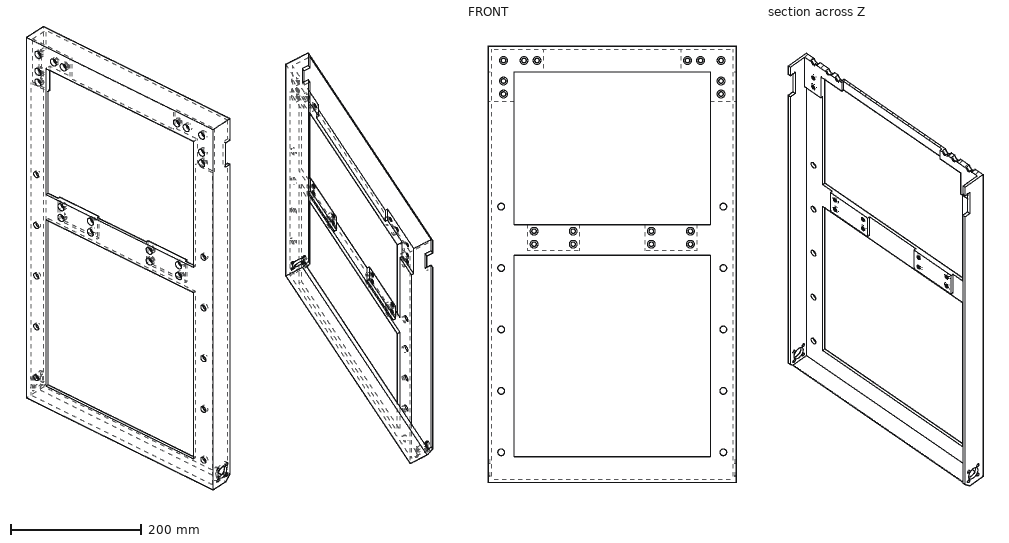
import cadquery as cq

width = 381.0
depth = 40.0
height = 670.0

front_thickness = 5.0
wall_thickness = 5.0

border = 40.0
crossbar_top = 61.0
crossbar_bottom = 14.0

notch_depth = 10.5
notch_from_top = 40.0
notch_height = 45.0
bottom_chamfer = 10.0

pad_thickness = 4.0
corner_pad_length = 85.0
crossbar_pad_length = 80.0
crossbar_pad_height = 40.0

screw_diameter = 6.6
screw_head_diameter = 12.0
screw_head_depth = 7.0
screw_pitch = 20.0
corner_screw_x = 167.0
corner_screw_z = 313.0
corner_screw_gap = 31.5
crossbar_screw_x = (60.0, 120.0)
crossbar_screw_top_z = 51.0

mount_diameter = 10.0
mount_x = 170.5
mount_top_z = 88.7
mount_pitch = 94.3
mount_count = 5

bore_diameter = 20.0
bore_y = 22.0
bore_from_bottom = 22.0
bore_screw_spacing = 20.0
bore_screw_diameter = 5.0

half_width = width / 2
half_height = height / 2
bore_z = bore_from_bottom - half_height
opening_half_width = half_width - border
pad_back = front_thickness + pad_thickness


def block(x0, x1, y0, y1, z0, z1):
    """Box between two opposite corners."""
    return cq.Workplane("XY").box(x1 - x0, y1 - y0, z1 - z0, centered=False).translate((x0, y0, z0))


def on_front(points):
    """Workplane on the front face, facing into the part, with local axes along X and Z."""
    plane = cq.Plane(origin=(0, 0, 0), xDir=(-1, 0, 0), normal=(0, 1, 0))
    return cq.Workplane(plane).pushPoints([(-x, z) for x, z in points])


def make_tray():
    """Outer shell: side profile with rear notch and chamfer, hollowed from the back."""
    notch_top = half_height - notch_from_top
    notch_bottom = notch_top - notch_height
    profile = [
        (0, -half_height),
        (depth - bottom_chamfer, -half_height),
        (depth, -half_height + bottom_chamfer),
        (depth, notch_bottom),
        (depth - notch_depth, notch_bottom),
        (depth - notch_depth, notch_top),
        (depth, notch_top),
        (depth, half_height),
        (0, half_height),
    ]
    outer = cq.Workplane("YZ").polyline(profile).close().extrude(half_width, both=True)
    inner_x = half_width - wall_thickness
    inner_z = half_height - wall_thickness
    return outer.cut(block(-inner_x, inner_x, front_thickness, depth, -inner_z, inner_z))


def add_pads(body):
    """Corner pads and crossbar pads that thicken the front plate around the screws."""
    mid_screw_x = sum(crossbar_screw_x) / len(crossbar_screw_x)
    bar_z = (crossbar_top - crossbar_pad_height, crossbar_top)
    for side in (-1, 1):
        outer_x = side * half_width
        pad_x = sorted((outer_x, outer_x - side * corner_pad_length))
        corner = block(*pad_x, 0, pad_back, half_height - corner_pad_length, half_height)
        x0 = side * mid_screw_x - crossbar_pad_length / 2
        bar = block(x0, x0 + crossbar_pad_length, 0, pad_back, *bar_z)
        body = body.union(corner).union(bar)
    return body


def cut_openings(body):
    """Two rectangular windows, above and below the crossbar."""
    window_ends = (
        (crossbar_top, half_height - border),
        (border - half_height, crossbar_bottom),
    )
    for z0, z1 in window_ends:
        body = body.cut(block(-opening_half_width, opening_half_width, 0, pad_back, z0, z1))
    return body


def screw_points():
    """X, Z of every counterbored screw."""
    near = corner_screw_gap
    far = corner_screw_gap + screw_pitch
    points = []
    for side in (-1, 1):
        points.append((side * corner_screw_x, corner_screw_z))
        for step in (near, far):
            points.append((side * (corner_screw_x - step), corner_screw_z))
            points.append((side * corner_screw_x, corner_screw_z - step))
        for x in crossbar_screw_x:
            points.append((side * x, crossbar_screw_top_z))
            points.append((side * x, crossbar_screw_top_z - screw_pitch))
    return points


def cut_screws(body):
    """Counterbored through holes, opened from the front."""
    shanks = on_front(screw_points()).circle(screw_diameter / 2).extrude(pad_back)
    heads = on_front(screw_points()).circle(screw_head_diameter / 2).extrude(screw_head_depth)
    return body.cut(shanks).cut(heads)


def cut_mounts(body):
    """Column of plain holes in each upright."""
    points = [
        (side * mount_x, mount_top_z - row * mount_pitch)
        for side in (-1, 1)
        for row in range(mount_count)
    ]
    return body.cut(on_front(points).circle(mount_diameter / 2).extrude(front_thickness))


def cut_bores(body):
    """Bore and four screw holes through both side walls."""
    side_plane = cq.Workplane("YZ").center(bore_y, bore_z)
    bore = side_plane.circle(bore_diameter / 2).extrude(half_width, both=True)
    screws = (
        side_plane.rect(bore_screw_spacing, bore_screw_spacing, forConstruction=True)
        .vertices()
        .circle(bore_screw_diameter / 2)
        .extrude(half_width, both=True)
    )
    return body.cut(bore).cut(screws)


result = make_tray()
result = add_pads(result)
result = cut_openings(result)
result = cut_screws(result)
result = cut_mounts(result)
result = cut_bores(result)